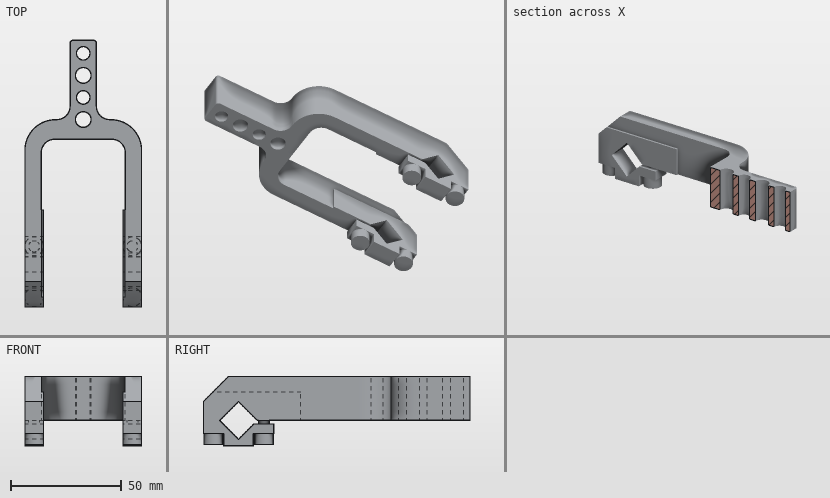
import cadquery as cq

fork_width = 53.0
fork_length = 121.0
bar_height = 20.0
leg_thickness = 7.5
crown_thickness = 9.0
crown_outer_radius = 14.0
crown_inner_radius = 6.0

tail_width = 12.0
tail_length = 36.0
tail_root_radius = 6.0
tail_tip_radius = 1.5
tail_hole_diameters = (6.0, 7.0, 6.0, 7.0)
tail_hole_pitch = 10.0
first_hole_inset = 6.0

pad_thickness = 8.5
pad_length = 44.0
pad_top = 13.0
tip_chamfer = 11.5
rod_square = 12.0
clamp_length = 32.0
clamp_gap = 1.5
clamp_bottom = -11.5
screw_seat_z = -6.0
clamp_foot_length = 13.5

head_diameter = 8.5
screw_inset = 4.5
head_height = 5.0
shank_diameter = 5.0

screw_seat_length = (clamp_length - clamp_foot_length) / 2
crown_outer_y = fork_length - tail_length
crown_inner_y = crown_outer_y - crown_thickness
rod_y = clamp_length / 2
back_screw_y = clamp_length - screw_inset
front_screw_y = screw_inset


def block(x_min, x_max, y_min, y_max, z_min, z_max):
    """Axis-aligned box given by its limits."""
    size = (x_max - x_min, y_max - y_min, z_max - z_min)
    return cq.Workplane("XY").box(*size, centered=False).translate((x_min, y_min, z_min))


def make_fork():
    """U-shaped bar with rounded crown and a plain tail."""
    half_width = fork_width / 2
    half_opening = half_width - leg_thickness
    crown = block(-half_width, half_width, 0, crown_outer_y, 0, bar_height)
    crown = crown.edges("|Z and >Y").fillet(crown_outer_radius)
    tail = block(-tail_width / 2, tail_width / 2, crown_inner_y, fork_length, 0, bar_height)
    tail = tail.edges("|Z and >Y").fillet(tail_tip_radius)
    root_corners = cq.selectors.BoxSelector(
        (-tail_width, crown_outer_y - tail_root_radius, 0),
        (tail_width, crown_outer_y + tail_root_radius, bar_height),
    )
    body = crown.union(tail).edges("|Z").edges(root_corners).fillet(tail_root_radius)
    opening = block(-half_opening, half_opening, 0, crown_inner_y, 0, bar_height)
    return body.cut(opening.edges("|Z and >Y").fillet(crown_inner_radius))


def drill_tail(body):
    """Row of vertical through holes, counted from the tail tip."""
    for index, diameter in enumerate(tail_hole_diameters):
        hole_y = fork_length - first_hole_inset - index * tail_hole_pitch
        body = body.cut(cq.Workplane("XY").center(0, hole_y).circle(diameter / 2).extrude(bar_height))
    return body


def leg_tip(x_min):
    """Pad and clamp jaw of one leg, from x_min over the pad thickness."""
    x_max = x_min + pad_thickness
    pad = block(x_min, x_max, 0, pad_length, 0, pad_top)
    jaw = block(x_min, x_max, 0, clamp_length, clamp_bottom, 0)
    gap = block(x_min, x_max, rod_y, clamp_length, -clamp_gap, 0)
    tip = pad.union(jaw).cut(gap)
    for seat_y in (0, clamp_length - screw_seat_length):
        tip = tip.cut(block(x_min, x_max, seat_y, seat_y + screw_seat_length, clamp_bottom, screw_seat_z))
    return tip


def cut_rod_seats(body):
    """Square rod passage standing on its corner, through both legs."""
    rod = (
        cq.Workplane("YZ")
        .center(rod_y, 0)
        .transformed(rotate=(0, 0, 45))
        .rect(rod_square, rod_square)
        .extrude(fork_width / 2, both=True)
    )
    return body.cut(rod)


def chamfer_tips(body):
    """Slope off the upper front corner of both legs."""
    wedge = (
        cq.Workplane("YZ")
        .moveTo(0, bar_height)
        .lineTo(tip_chamfer, bar_height)
        .lineTo(0, bar_height - tip_chamfer)
        .close()
        .extrude(fork_width / 2, both=True)
    )
    return body.cut(wedge)


def screws(x_center):
    """Two screw heads below the jaw and the shank bridging the clamp gap."""
    heads = (
        cq.Workplane("XY", origin=(0, 0, screw_seat_z))
        .pushPoints([(x_center, front_screw_y), (x_center, back_screw_y)])
        .circle(head_diameter / 2)
        .extrude(-head_height)
    )
    shank = (
        cq.Workplane("XY", origin=(x_center, back_screw_y, screw_seat_z))
        .circle(shank_diameter / 2)
        .extrude(-screw_seat_z)
    )
    return heads.union(shank)


leg_starts = (-fork_width / 2, fork_width / 2 - pad_thickness)

result = drill_tail(make_fork())
for leg_start in leg_starts:
    result = result.union(leg_tip(leg_start))
result = chamfer_tips(cut_rod_seats(result))
for leg_start in leg_starts:
    result = result.union(screws(leg_start + pad_thickness / 2))